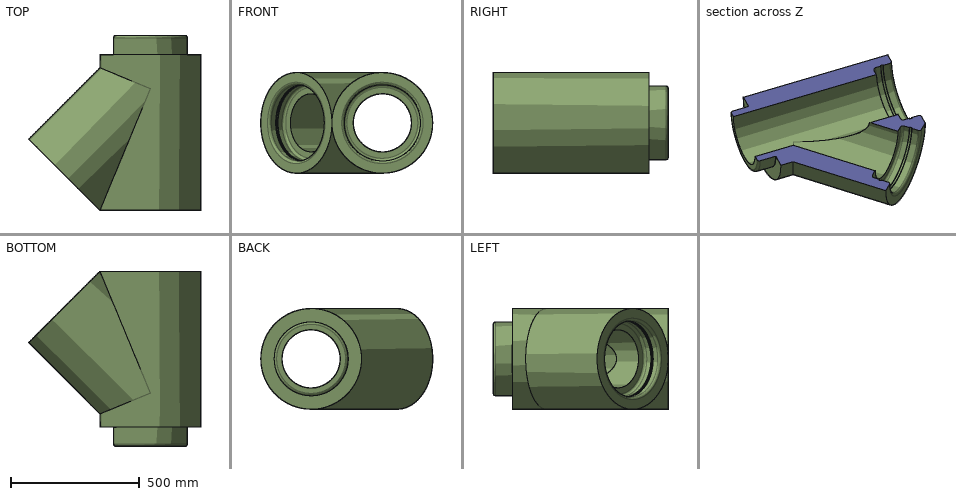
import cadquery as cq
import math

body_diameter = 392.0
body_length = 605.0
bore_diameter = 225.0
body_radius = body_diameter / 2

spigot_diameter = 287.0
total_length = 680.0
spigot_rounding = 9.5

socket_diameter = 296.0
socket_depth = 80.0
socket_rounding = 10.0
groove_diameter = 302.5
groove_start = 38.0
groove_width = 9.5

branch_angle = 45.0


def tube_along_y(diameter, length):
    """Solid cylinder starting at the origin and running along +Y."""
    return cq.Workplane("XZ").circle(diameter / 2).extrude(-length)


def socket_cutter():
    """Recess from Y = 0 inward: flared mouth, seal groove and rounded floor."""
    socket_radius = socket_diameter / 2
    groove_radius = groove_diameter / 2
    groove_end = groove_start + groove_width
    arc_inset = socket_rounding * (1 - 0.5**0.5)
    mouth_middle = (socket_radius + arc_inset, arc_inset)
    floor_middle = (socket_radius - arc_inset, socket_depth - arc_inset)
    profile = (
        cq.Workplane("XY")
        .lineTo(socket_radius + socket_rounding, 0)
        .threePointArc(mouth_middle, (socket_radius, socket_rounding))
        .lineTo(socket_radius, groove_start)
        .lineTo(groove_radius, groove_start)
        .lineTo(groove_radius, groove_end)
        .lineTo(socket_radius, groove_end)
        .lineTo(socket_radius, socket_depth - socket_rounding)
        .threePointArc(floor_middle, (socket_radius - socket_rounding, socket_depth))
        .lineTo(0, socket_depth)
        .close()
    )
    return profile.revolve(360, (0, 0, 0), (0, 1, 0))


def place_on_branch(shape):
    """Move a shape built along +Y from the origin onto the branch axis."""
    outward = shape.translate((-body_radius, 0, 0))
    turned = outward.rotate((0, 0, 0), (0, 0, 1), -branch_angle)
    return turned.translate((-body_radius, 0, 0))


branch_miter_length = body_radius / math.tan(math.radians(branch_angle / 2))
spigot = tube_along_y(spigot_diameter, total_length).faces(">Y").edges().fillet(spigot_rounding)
body = tube_along_y(body_diameter, body_length).union(spigot)
branch = place_on_branch(tube_along_y(body_diameter, branch_miter_length))

body_bore = tube_along_y(bore_diameter, total_length)
branch_bore = place_on_branch(tube_along_y(bore_diameter, branch_miter_length))

result = (
    body.union(branch)
    .cut(body_bore)
    .cut(branch_bore)
    .cut(socket_cutter())
    .cut(place_on_branch(socket_cutter()))
)